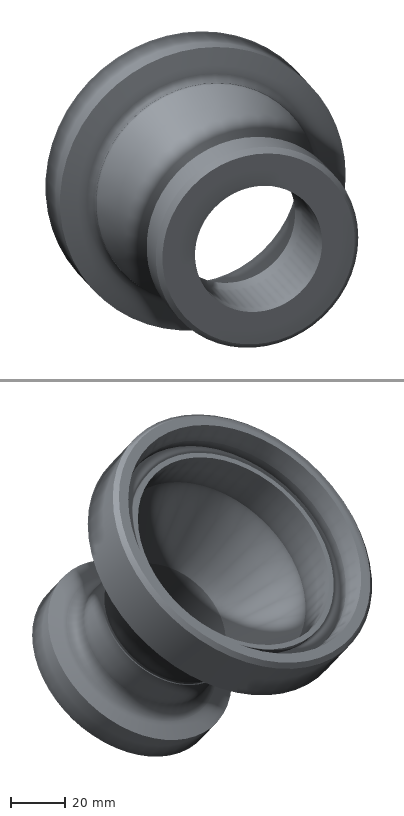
import cadquery as cq
import math

overall_length = 92.0

large_tube_wall = 2.0
large_tube_radius = 85.0 / 2
small_tube_radius = 54.0 / 2
small_bore_radius = 49.0 / 2
lip_x = 8.4
cone_start_x = 25.8
cone_end_x = 57.2
exposed_tube = 1.0
small_tube_end_x = cone_end_x + exposed_tube

back_face_angle = math.radians(10)

large_rim_radius = 55.0
large_rim_back_x = 20.4
large_rim_chamfer = 1.6
large_neck_wall = 0.1
large_neck_fillet = 3.0
large_neck_end_x = cone_start_x - exposed_tube
recess_mouth_radius = 49.4
recess_floor_radius = 94.8 / 2
recess_taper_depth = 7.8
recess_depth = 11.5

small_rim_radius = 78.0 / 2
small_rim_back_x = 78.2
small_rim_chamfer = 2.0
small_neck_radius = 27.5
small_neck_fillet = 5.1


def revolve_profile(profile):
    """Turn a closed (x, radius) profile once around the X axis."""
    return profile.close().revolve(360, (0, 0, 0), (1, 0, 0))


def neck_fillet_points(rim_back_x, rim_radius, neck_radius, fillet, direction):
    """Return the start, middle and end of the arc from sloping back face to neck.

    direction is +1 where the neck leaves the rim towards +X, and -1 towards -X.
    """
    arc_center_radius = neck_radius + fillet
    face_radius = arc_center_radius - fillet * math.sin(back_face_angle)
    face_x = rim_back_x + direction * (rim_radius - face_radius) * math.tan(back_face_angle)
    arc_center_x = face_x + direction * fillet * math.cos(back_face_angle)
    middle_angle = (back_face_angle + math.pi / 2) / 2
    middle = (
        arc_center_x - direction * fillet * math.cos(middle_angle),
        arc_center_radius - fillet * math.sin(middle_angle),
    )
    return (face_x, face_radius), middle, (arc_center_x, neck_radius)


def make_reducer():
    large_bore_radius = large_tube_radius - large_tube_wall
    profile = cq.Workplane("XY").polyline([
        (lip_x, large_bore_radius),
        (lip_x, large_tube_radius),
        (cone_start_x, large_tube_radius),
        (cone_end_x, small_tube_radius),
        (small_tube_end_x, small_tube_radius),
        (small_tube_end_x, small_bore_radius),
        (cone_end_x, small_bore_radius),
        (cone_start_x, large_bore_radius),
    ])
    return revolve_profile(profile)


def make_large_ferrule():
    neck_radius = large_tube_radius + large_neck_wall
    face_point, arc_middle, neck_point = neck_fillet_points(
        large_rim_back_x, large_rim_radius, neck_radius, large_neck_fillet, 1
    )
    profile = (
        cq.Workplane("XY")
        .moveTo(0, recess_mouth_radius)
        .lineTo(0, large_rim_radius - large_rim_chamfer)
        .lineTo(large_rim_chamfer, large_rim_radius)
        .lineTo(large_rim_back_x, large_rim_radius)
        .lineTo(*face_point)
        .threePointArc(arc_middle, neck_point)
        .lineTo(large_neck_end_x, large_tube_radius)
        .lineTo(recess_depth, large_tube_radius)
        .lineTo(recess_depth, recess_floor_radius)
        .lineTo(recess_taper_depth, recess_floor_radius)
    )
    return revolve_profile(profile)


def make_small_ferrule():
    face_point, arc_middle, neck_point = neck_fillet_points(
        small_rim_back_x, small_rim_radius, small_neck_radius, small_neck_fillet, -1
    )
    profile = (
        cq.Workplane("XY")
        .moveTo(overall_length, small_bore_radius)
        .lineTo(overall_length, small_rim_radius - small_rim_chamfer)
        .lineTo(overall_length - small_rim_chamfer, small_rim_radius)
        .lineTo(small_rim_back_x, small_rim_radius)
        .lineTo(*face_point)
        .threePointArc(arc_middle, neck_point)
        .lineTo(small_tube_end_x, small_neck_radius)
        .lineTo(small_tube_end_x, small_bore_radius)
    )
    return revolve_profile(profile)


reducer = make_reducer()
large_ferrule = make_large_ferrule()
small_ferrule = make_small_ferrule()

result = cq.Compound.makeCompound([
    reducer.val(),
    large_ferrule.val(),
    small_ferrule.val(),
])